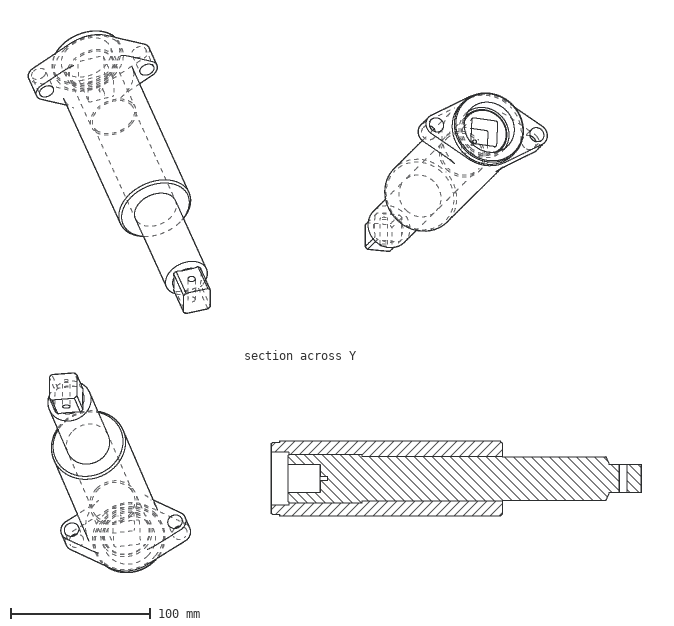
import cadquery as cq
import math


overall_length = 264.7

housing_length = 165.5
housing_radius = 27.0
housing_end_chamfer = 1.5
pilot_length = 6.0
pilot_radius = 26.0
pilot_chamfer = 0.8

flange_thickness = 19.0
flange_fillet = 2.6
flange_start = pilot_length
flange_back = flange_start + flange_thickness
ear_radius = 8.0
flange_half_width = 45.5
ear_offset = flange_half_width - ear_radius
ear_hole_diameter = 10.5

shaft_diameter = 31.5
shaft_radius = shaft_diameter / 2
head_radius = 17.2
head_chamfer = 0.8
head_face = 12.0
head_length = 53.0
head_back = head_face + head_length

mouth_radius = 18.8
mouth_depth = head_face + head_chamfer

square_size = 20.0
square_length = 23.0
corner_radius = 13.0
square_root = overall_length - square_length
shaft_end_chamfer_length = 1.5
shaft_nose_radius = 12.2
shaft_nose_length = 0.5
shaft_nose_start = square_root - shaft_nose_length
shaft_taper_start = shaft_nose_start - shaft_end_chamfer_length
shaft_nose_tip_radius = 11.0
pin_hole_diameter = 5.3
pin_hole_from_end = 13.0

socket_size = 19.3
socket_depth = square_length
socket_corner_fillet = 1.5
socket_turn = 2.5
centre_hole_diameter = 2.6
centre_hole_depth = 5.3


def turned(points):
    """Solid of revolution about the X axis from (x, radius) points."""
    return cq.Workplane("XY").polyline(points).close().revolve(360, (0, 0, 0), (1, 0, 0))


def x_cylinder(radius, start, end, y=0.0):
    """Cylinder along X between two X positions."""
    return cq.Workplane("YZ", origin=(start, y, 0)).circle(radius).extrude(end - start)


def make_flange():
    """Two-eared plate tangent to the barrel, with a concave fillet running onto the barrel."""
    tangent_sin = (housing_radius - ear_radius) / ear_offset
    tangent_cos = math.sqrt(1 - tangent_sin**2)
    barrel_y = housing_radius * tangent_sin
    barrel_z = housing_radius * tangent_cos
    ear_y = ear_offset + ear_radius * tangent_sin
    ear_z = ear_radius * tangent_cos
    plate = (
        cq.Workplane("YZ", origin=(flange_start, 0, 0))
        .moveTo(-barrel_y, barrel_z)
        .lineTo(barrel_y, barrel_z)
        .lineTo(ear_y, ear_z)
        .threePointArc((flange_half_width, 0), (ear_y, -ear_z))
        .lineTo(barrel_y, -barrel_z)
        .lineTo(-barrel_y, -barrel_z)
        .lineTo(-ear_y, -ear_z)
        .threePointArc((-flange_half_width, 0), (-ear_y, ear_z))
        .close()
        .extrude(flange_thickness + flange_fillet)
    )
    envelope_radius = flange_half_width + ear_radius
    fillet_inset = flange_fillet * (1 - math.sqrt(0.5))
    envelope = (
        cq.Workplane("XY")
        .moveTo(flange_start, 0)
        .lineTo(flange_start, envelope_radius)
        .lineTo(flange_back, envelope_radius)
        .lineTo(flange_back, housing_radius + flange_fillet)
        .threePointArc(
            (flange_back + fillet_inset, housing_radius + fillet_inset),
            (flange_back + flange_fillet, housing_radius),
        )
        .lineTo(flange_back + flange_fillet, 0)
        .close()
        .revolve(360, (0, 0, 0), (1, 0, 0))
    )
    return plate.intersect(envelope)


def make_housing():
    """Flanged barrel with a stepped bore for the shaft."""
    barrel = turned([
        (0, 0),
        (0, pilot_radius - pilot_chamfer),
        (pilot_chamfer, pilot_radius),
        (pilot_length, pilot_radius),
        (pilot_length, housing_radius),
        (housing_length - housing_end_chamfer, housing_radius),
        (housing_length, housing_radius - housing_end_chamfer),
        (housing_length, 0),
    ])
    bore = turned([
        (0, 0),
        (0, mouth_radius),
        (mouth_depth, mouth_radius),
        (mouth_depth, head_radius),
        (head_back, head_radius),
        (head_back, shaft_radius),
        (housing_length, shaft_radius),
        (housing_length, 0),
    ])
    housing = barrel.union(make_flange()).cut(bore)
    for side in (-1, 1):
        ear_hole = x_cylinder(ear_hole_diameter / 2, flange_start, flange_back, side * ear_offset)
        housing = housing.cut(ear_hole)
    return housing.solids()


def make_square_end():
    """Male square with turned corners and a cross hole, rooted inside the tapered shaft end."""
    square = (
        cq.Workplane("YZ", origin=(shaft_taper_start, 0, 0))
        .rect(square_size, square_size)
        .extrude(overall_length - shaft_taper_start)
        .intersect(x_cylinder(corner_radius, shaft_taper_start, overall_length))
    )
    pin_hole = (
        cq.Workplane("XY", origin=(overall_length - pin_hole_from_end, 0, 0))
        .circle(pin_hole_diameter / 2)
        .extrude(square_size, both=True)
    )
    return square.cut(pin_hole)


def make_socket():
    """Square socket, turned slightly about the axis, with a centre hole in its floor."""
    square = (
        cq.Workplane("YZ", origin=(head_face, 0, 0))
        .rect(socket_size, socket_size)
        .extrude(socket_depth)
        .edges("|X")
        .fillet(socket_corner_fillet)
        .rotate((0, 0, 0), (1, 0, 0), socket_turn)
    )
    floor = head_face + socket_depth
    centre_hole = x_cylinder(centre_hole_diameter / 2, floor, floor + centre_hole_depth)
    return square.union(centre_hole)


def make_shaft():
    """Drive shaft: socketed head, plain shank and male square end."""
    body = turned([
        (head_face, 0),
        (head_face, head_radius - head_chamfer),
        (head_face + head_chamfer, head_radius),
        (head_back, head_radius),
        (head_back, shaft_radius),
        (shaft_taper_start, shaft_radius),
        (shaft_nose_start, shaft_nose_radius),
        (square_root, shaft_nose_tip_radius),
        (square_root, 0),
    ])
    return body.union(make_square_end()).cut(make_socket()).solids()


housing = make_housing()
shaft = make_shaft()

result = cq.Compound.makeCompound([housing.val(), shaft.val()])